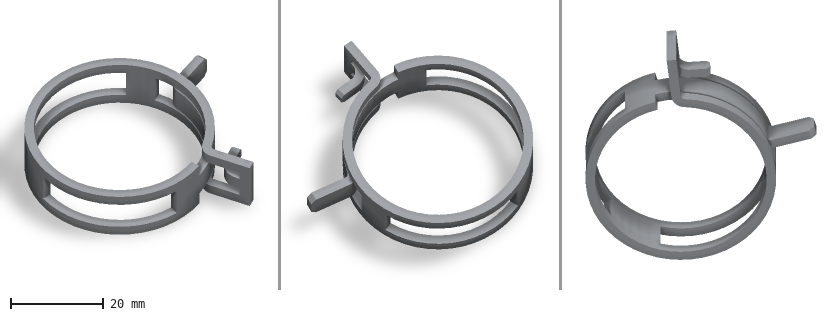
import cadquery as cq
import math


overall_depth = 45.75
outer_diameter = 41.4
outer_radius = outer_diameter / 2
thickness = 2.05
inner_radius = outer_radius - thickness
band_width = 12.0
window_width = 6.95
tail_width = 5.67

band_end_angle = 40.5
fork_slot_end = 180 - band_end_angle
window_near_angle = 20.5
window_far_angle = -70
bend_angle = 58.6

leg_direction = 50
tail_tip_chamfer = 1.15
leg_bend_radius = 0.9
leg_tip_y = overall_depth - outer_radius

hook_direction = 142
hook_bend_radius = 2.45
hook_straight = 4.4
hook_bend_from_tip = 3.2
slot_from_tip = 2.42
hook_tip_chamfer = 0.8
hook_width = 3.2


def polar(radius, angle, origin=(0, 0)):
    """Point at a radius and an angle in degrees from an origin."""
    a = math.radians(angle)
    return (origin[0] + radius * math.cos(a), origin[1] + radius * math.sin(a))


def sector(inner, outer, start, end, width, origin=(0, 0)):
    """Ring sector between two angles, centred on Z = 0."""
    middle = (start + end) / 2
    return (
        cq.Workplane("XY")
        .moveTo(*polar(outer, start, origin))
        .threePointArc(polar(outer, middle, origin), polar(outer, end, origin))
        .lineTo(*polar(inner, end, origin))
        .threePointArc(polar(inner, middle, origin), polar(inner, start, origin))
        .close()
        .extrude(width / 2, both=True)
    )


def bar(start, direction, length, width):
    """Straight strip; start is a corner and the thickness lies to its left."""
    far = polar(length, direction, start)
    left = direction + 90
    return (
        cq.Workplane("XY")
        .polyline([start, far, polar(thickness, left, far), polar(thickness, left, start)])
        .close()
        .extrude(width / 2, both=True)
    )


def chamfer_tip(strip, direction, size):
    """Cut the two corners at the free end of a strip."""
    x, y = polar(1, direction)
    tip_face = strip.faces(cq.selectors.DirectionMinMaxSelector(cq.Vector(x, y, 0), True))
    return tip_face.edges("not |Z").edges("<Z or >Z").chamfer(size)


leg_right = leg_direction - 90
leg_left = leg_direction + 90
bend_centre = polar(outer_radius + leg_bend_radius, bend_angle)
leg_start = polar(leg_bend_radius + thickness, leg_right, bend_centre)
leg_inner_start = polar(leg_bend_radius, leg_right, bend_centre)
leg_length = (leg_tip_y - leg_inner_start[1]) / math.sin(math.radians(leg_direction))


def leg_bend(width):
    """Curved strip joining the ring to the fork leg."""
    return sector(
        leg_bend_radius, leg_bend_radius + thickness,
        bend_angle - 180, leg_right, width, bend_centre,
    )


def make_band():
    """Full-width ring with the fork leg, two windows and the fork slot."""
    band = (
        sector(inner_radius, outer_radius, bend_angle, 360 + band_end_angle, band_width)
        .union(leg_bend(band_width))
        .union(bar(leg_start, leg_direction, leg_length, band_width))
    )
    window = sector(
        inner_radius, outer_radius, window_far_angle, window_near_angle, window_width
    )
    slot = (
        sector(inner_radius, outer_radius, bend_angle, fork_slot_end, window_width)
        .union(leg_bend(window_width))
        .union(bar(leg_start, leg_direction, leg_length - slot_from_tip, window_width))
    )
    return band.cut(window).cut(window.mirror("YZ")).cut(slot)


def make_tail():
    """Narrow strip from the band end to the second leg, which mirrors the fork leg."""
    straight = bar(leg_start, leg_direction, leg_length, tail_width)
    leg = chamfer_tip(straight, leg_direction, tail_tip_chamfer)
    bent_leg = leg.union(leg_bend(tail_width)).mirror("YZ")
    arc = sector(inner_radius, outer_radius, band_end_angle, 180 - bend_angle, tail_width)
    return arc.union(bent_leg)


def make_hook():
    """Tongue left in the slot of the fork leg, bent back over the ring."""
    hook_outer_radius = hook_bend_radius + thickness
    bend_start = hook_direction - 270
    bend_end = polar(leg_length - hook_bend_from_tip, leg_direction, leg_start)
    centre = polar(hook_outer_radius, leg_left, bend_end)
    root = bar(bend_end, leg_direction, hook_bend_from_tip - slot_from_tip, hook_width)
    bend = sector(
        hook_bend_radius, hook_outer_radius, bend_start, leg_right, hook_width, centre
    )
    straight_start = polar(hook_bend_radius, bend_start, centre)
    straight = bar(straight_start, hook_direction, hook_straight, hook_width)
    return root.union(bend).union(chamfer_tip(straight, hook_direction, hook_tip_chamfer))


result = make_band().union(make_tail()).union(make_hook())